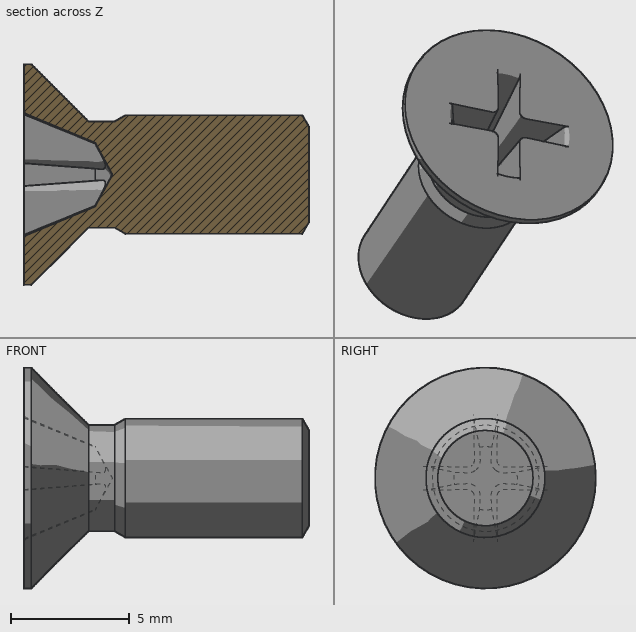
import cadquery as cq
import math

length = 12.0

head_diameter = 9.3
neck_diameter = 4.48
thread_diameter = 5.0
tip_diameter = 4.01

head_rim = 0.31
cone_half_angle = 45.0
neck_end = 3.82
shoulder_angle = 30.0
tip_chamfer = 0.29

recess_radius = 2.72
lip_radius = 2.53
lip_depth = 0.12
wing_foot_radius = 1.33
wing_depth = 3.0
recess_depth = 3.72
wing_half_width = 0.5
root_half_width = 0.47
wing_overrun = 1.2
wall_draft = 4.3
root_fillet = 0.3


def make_body():
    """Countersunk head, neck and thread cylinder turned about the X axis."""
    head_radius = head_diameter / 2
    neck_radius = neck_diameter / 2
    thread_radius = thread_diameter / 2
    cone_length = (head_radius - neck_radius) / math.tan(math.radians(cone_half_angle))
    shoulder_length = (thread_radius - neck_radius) / math.tan(math.radians(shoulder_angle))
    profile = [
        (0, 0),
        (0, head_radius),
        (head_rim, head_radius),
        (head_rim + cone_length, neck_radius),
        (neck_end, neck_radius),
        (neck_end + shoulder_length, thread_radius),
        (length - tip_chamfer, thread_radius),
        (length, tip_diameter / 2),
        (length, 0),
    ]
    return cq.Workplane("XY").polyline(profile).close().revolve(360, (0, 0, 0), (1, 0, 0))


def make_cross():
    """Four wings with rounded roots, narrowing with depth by the wall draft.

    The wings run past the recess, so that the turned envelope trims their ends.
    """
    flare = (wing_half_width - root_half_width) / (recess_radius - root_half_width)
    end_half_width = wing_half_width + flare * wing_overrun
    reach = recess_radius + wing_overrun
    wing = [
        (reach, -end_half_width),
        (reach, end_half_width),
        (root_half_width, root_half_width),
    ]
    outline = []
    for quarter in range(4):
        turn = math.radians(90 * quarter)
        for along, across in wing:
            y = along * math.cos(turn) - across * math.sin(turn)
            z = along * math.sin(turn) + across * math.cos(turn)
            outline.append((y, z))
    near = wing_foot_radius
    roots = cq.selectors.BoxSelector((-near, -near, -near), (near, near, near))
    sketch = cq.Sketch().polygon(outline + outline[:1]).vertices(roots).fillet(root_fillet)
    return cq.Workplane("YZ").placeSketch(sketch).extrude(recess_depth, taper=wall_draft)


def make_wing_envelope():
    """Turned shape that bounds the rounded lip, the wing ends and the conical floor."""
    return (
        cq.Workplane("XY")
        .moveTo(0, 0)
        .lineTo(recess_depth, 0)
        .lineTo(wing_depth, wing_foot_radius)
        .lineTo(lip_depth, lip_radius)
        .tangentArcPoint((0, recess_radius), relative=False)
        .close()
        .revolve(360, (0, 0, 0), (1, 0, 0))
    )


recess = make_cross().intersect(make_wing_envelope())
result = make_body().cut(recess)